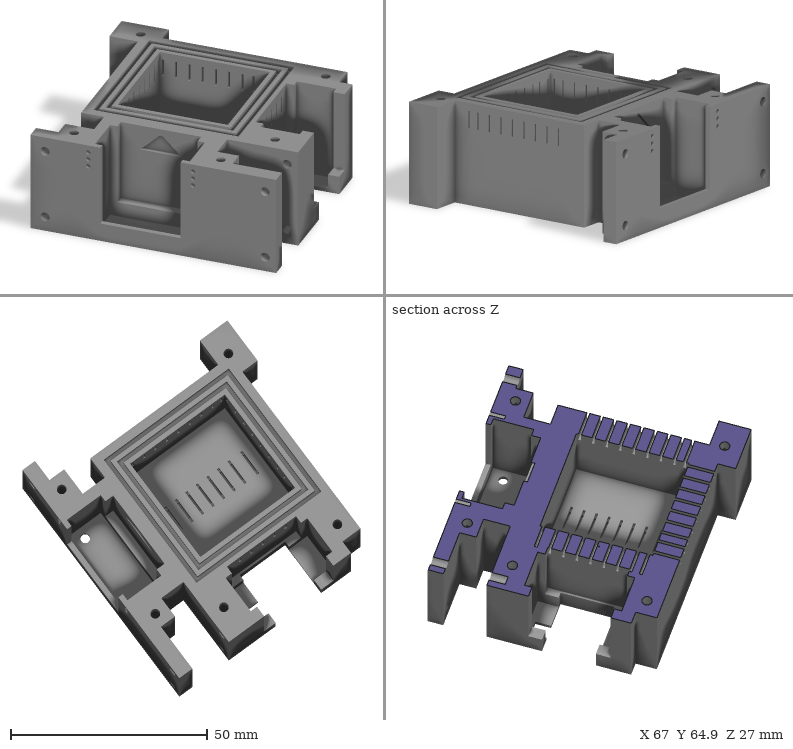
import cadquery as cq

LENGTH = 67.0
DEPTH = 64.9
HEIGHT = 27.0

BODY_LEFT = 7.85
BODY_FRONT = 15.7
BODY_BACK = 60.1
BACK_TAB_RIGHT = 12.9
BACK_TAB_FRONT = 56.2
CORNER_STEP_X = 63.4
CORNER_STEP_Y = 54.4

PLATE_LEFT_THICKNESS = 3.95
PLATE_RIGHT_THICKNESS = 4.15
BOSS_LEFT = 6.15
BOSS_RIGHT = 53.5
BOSS_BACK = 8.65
NECK_LEFT = 14.1
NECK_RIGHT = 47.65

CAVITY_X = 30.0
CAVITY_Y = 38.0
CAVITY_SIDE = 30.0
CAVITY_DEPTH = 20.0
GROOVE_SIDES = [(32.4, 34.85), (37.2, 39.6)]
GROOVE_DEPTH = 1.5

CHANNEL_WIDTH = 21.9
CHANNEL_LENGTH = 14.6
CHANNEL_FLOOR = 5.0
CHANNEL_EXTRA = 1.35
WELL_WIDTH = 25.85
WELL_LENGTH = 10.7
WELL_FLOOR = 1.0
FRONT_WELL_LIP = 1.4
RIGHT_WELL_LIP = 3.1
RIGHT_POCKET_Y = 37.85

OPENING_LEFT = 51.6
OPENING_FRONT = 30.55
OPENING_BACK = 44.95
NOTCH_LEFT = 59.4
NOTCH_RIGHT = 63.3
NOTCH_FRONT = 26.3

VENT_WIDTH = 0.7
VENT_BOTTOM = 20.25
VENT_HEIGHT = 4.7
VENT_PITCH = 3.6
SIDE_VENT_GROUPS = [(23.85, 8), (51.9, 1)]
BACK_VENT_GROUPS = [(15.75, 7), (40.4, 2)]

FLOOR_SLOT_WIDTH = 0.7
FLOOR_SLOT_PITCH = 3.35
FLOOR_SLOT_GROUPS = [(25.5, 7), (49.65, 1)]
FLOOR_SLOT_STEPS = [(26.5, 33.7, 1.0), (27.5, 32.5, 2.0)]

TRIANGLE_BASE = 11.25
TRIANGLE_BOTTOM = 20.1
TRIANGLE_HEIGHT = 5.35
TRIANGLE_DEPTH = 1.0
APEX_DROP = 0.6
APEX_STEP_DEPTH = 0.3

SCREW_DIAMETER = 2.5
VERTICAL_SCREWS = [(7.05, 60.0), (59.0, 56.0), (59.0, 20.0), (10.0, 5.0), (50.0, 5.0), (20.0, 5.0)]
PLATE_SCREW_X = [4.0, 64.0]
PLATE_SCREW_Z = [4.0, 23.0]
PLATE_SCREW_DEPTH = 20.0

PIN_DIAMETER = 1.2
PIN_OFFSET = 14.3
PIN_Z = [21.0, 23.0, 25.0]
PIN_DEPTH = 4.0


def box(x0, x1, y0, y1, z0, z1):
    """Box between the given limits."""
    return cq.Workplane("XY").box(x1 - x0, y1 - y0, z1 - z0, centered=False).translate((x0, y0, z0))


def square_prism(side, depth):
    """Square prism around the cavity axis, sunk from the top face."""
    prism = cq.Workplane("XY").rect(side, side).extrude(depth)
    return prism.translate((CAVITY_X, CAVITY_Y, HEIGHT - depth))


def grouped_places(groups, pitch):
    """Places of a row made of evenly spaced groups."""
    return [first + i * pitch for first, count in groups for i in range(count)]


def front_holes(x_positions, z_positions, diameter, depth):
    """Grid of round holes running back from the front face."""
    points = [(x, z) for x in x_positions for z in z_positions]
    return cq.Workplane("XZ").pushPoints(points).circle(diameter / 2).extrude(-depth)


def body():
    outline = [
        (0, 0),
        (LENGTH, 0),
        (LENGTH, PLATE_RIGHT_THICKNESS),
        (BOSS_RIGHT, PLATE_RIGHT_THICKNESS),
        (BOSS_RIGHT, BOSS_BACK),
        (NECK_RIGHT, BOSS_BACK),
        (NECK_RIGHT, BODY_FRONT),
        (LENGTH, BODY_FRONT),
        (LENGTH, CORNER_STEP_Y),
        (CORNER_STEP_X, CORNER_STEP_Y),
        (CORNER_STEP_X, BODY_BACK),
        (BACK_TAB_RIGHT, BODY_BACK),
        (BACK_TAB_RIGHT, DEPTH),
        (0, DEPTH),
        (0, BACK_TAB_FRONT),
        (BODY_LEFT, BACK_TAB_FRONT),
        (BODY_LEFT, BODY_FRONT),
        (NECK_LEFT, BODY_FRONT),
        (NECK_LEFT, BOSS_BACK),
        (BOSS_LEFT, BOSS_BACK),
        (BOSS_LEFT, PLATE_LEFT_THICKNESS),
        (0, PLATE_LEFT_THICKNESS),
    ]
    return cq.Workplane("XY").polyline(outline).close().extrude(HEIGHT)


def cavity():
    space = square_prism(CAVITY_SIDE, CAVITY_DEPTH)
    for inner_side, outer_side in GROOVE_SIDES:
        groove = square_prism(outer_side, GROOVE_DEPTH).cut(square_prism(inner_side, GROOVE_DEPTH))
        space = space.union(groove)
    return space


def front_pocket():
    channel_left = CAVITY_X - CHANNEL_WIDTH / 2
    channel_right = CAVITY_X + CHANNEL_WIDTH / 2
    channel = box(channel_left, channel_right, 0, CHANNEL_LENGTH, CHANNEL_FLOOR, HEIGHT)
    well_left = CAVITY_X - WELL_WIDTH / 2
    well_right = CAVITY_X + WELL_WIDTH / 2
    well_back = FRONT_WELL_LIP + WELL_LENGTH
    well = box(well_left, well_right, FRONT_WELL_LIP, well_back, WELL_FLOOR, HEIGHT)
    return channel.union(well)


def right_pocket():
    channel_left = LENGTH - CHANNEL_LENGTH - CHANNEL_EXTRA
    channel_front = RIGHT_POCKET_Y - CHANNEL_WIDTH / 2
    channel_back = RIGHT_POCKET_Y + CHANNEL_WIDTH / 2
    channel = box(channel_left, LENGTH, channel_front, channel_back, CHANNEL_FLOOR, HEIGHT)
    well_right = LENGTH - RIGHT_WELL_LIP
    well_left = well_right - WELL_LENGTH
    well_front = RIGHT_POCKET_Y - WELL_WIDTH / 2
    well_back = RIGHT_POCKET_Y + WELL_WIDTH / 2
    well = box(well_left, well_right, well_front, well_back, WELL_FLOOR, HEIGHT)
    opening = box(OPENING_LEFT, LENGTH, OPENING_FRONT, OPENING_BACK, 0, HEIGHT)
    notch = box(NOTCH_LEFT, NOTCH_RIGHT, NOTCH_FRONT, OPENING_BACK, 0, HEIGHT)
    return channel.union(well).union(opening).union(notch)


def side_vents():
    """Slots along X through the left and right cavity walls."""
    half = VENT_WIDTH / 2
    slot = box(BODY_LEFT, OPENING_LEFT, -half, half, VENT_BOTTOM, VENT_BOTTOM + VENT_HEIGHT)
    return [slot.translate((0, y, 0)) for y in grouped_places(SIDE_VENT_GROUPS, VENT_PITCH)]


def back_vents():
    """Slots along Y through the back cavity wall."""
    half = VENT_WIDTH / 2
    slot = box(-half, half, CAVITY_Y, BODY_BACK, VENT_BOTTOM, VENT_BOTTOM + VENT_HEIGHT)
    return [slot.translate((x, 0, 0)) for x in grouped_places(BACK_VENT_GROUPS, VENT_PITCH)]


def floor_slots():
    """Blind slots along X, each with a shorter and deeper step inside."""
    floor = HEIGHT - CAVITY_DEPTH
    half = FLOOR_SLOT_WIDTH / 2
    return [
        box(left, right, y - half, y + half, floor - depth, floor)
        for y in grouped_places(FLOOR_SLOT_GROUPS, FLOOR_SLOT_PITCH)
        for left, right, depth in FLOOR_SLOT_STEPS
    ]


def triangle_recess():
    half = TRIANGLE_BASE / 2
    left = CAVITY_X - half
    right = CAVITY_X + half
    top = TRIANGLE_BOTTOM + TRIANGLE_HEIGHT
    corners = [(left, TRIANGLE_BOTTOM), (right, TRIANGLE_BOTTOM), (CAVITY_X, top)]
    prism = cq.Workplane("XZ").polyline(corners).close().extrude(-TRIANGLE_DEPTH)
    tip = box(left, right, APEX_STEP_DEPTH, TRIANGLE_DEPTH, top - APEX_DROP, top)
    return prism.cut(tip).translate((0, CHANNEL_LENGTH, 0))


screw_radius = SCREW_DIAMETER / 2
vertical_holes = cq.Workplane("XY").pushPoints(VERTICAL_SCREWS).circle(screw_radius).extrude(HEIGHT)
plate_holes = front_holes(PLATE_SCREW_X, PLATE_SCREW_Z, SCREW_DIAMETER, PLATE_SCREW_DEPTH)
pin_x = [CAVITY_X - PIN_OFFSET, CAVITY_X + PIN_OFFSET]
pin_holes = front_holes(pin_x, PIN_Z, PIN_DIAMETER, PIN_DEPTH)

cuts = [cavity(), front_pocket(), right_pocket(), triangle_recess(), vertical_holes, plate_holes, pin_holes]
cuts += side_vents() + back_vents() + floor_slots()

result = body()
for cut in cuts:
    result = result.cut(cut)